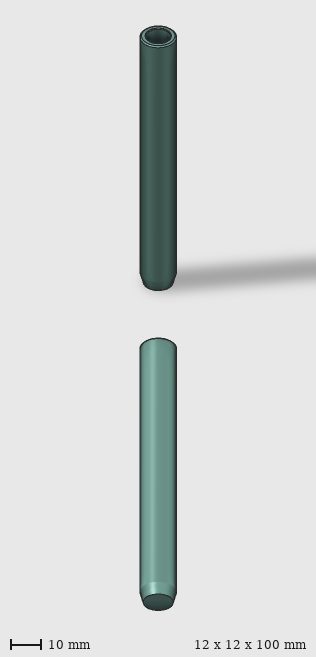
import cadquery as cq
import math

length = 100.0
radius = 6.0

taper_height = 4.0
taper_angle = 15.0
tip_radius = radius - taper_height * math.tan(math.radians(taper_angle))

rim_chamfer = 0.5

hole_radius = 4.0
hole_depth = 25.0
mouth_chamfer = 0.3
drill_point_angle = 118.0
point_height = hole_radius / math.tan(math.radians(drill_point_angle / 2))
hole_floor = length - hole_depth


def revolved(profile):
    """Revolve an (r, z) profile fully around the Z axis."""
    return cq.Workplane("XZ").polyline(profile).close().revolve(360, (0, 0, 0), (0, 1, 0))


body = revolved([
    (0, 0),
    (tip_radius, 0),
    (radius, taper_height),
    (radius, length - rim_chamfer),
    (radius - rim_chamfer, length),
    (0, length),
])

drilled_hole = revolved([
    (0, hole_floor - point_height),
    (hole_radius, hole_floor),
    (hole_radius, length - mouth_chamfer),
    (hole_radius + mouth_chamfer, length),
    (0, length),
])

result = body.cut(drilled_hole)